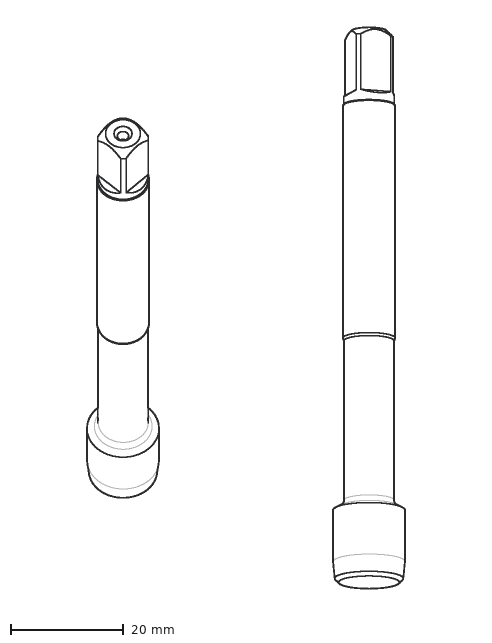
import cadquery as cq
import math

head_diameter = 12.8
head_top = 13.1
lead_top = 3.8
lead_diameter = 12.2
tip_chamfer = 0.7

shoulder_slope = 29.0
neck_diameter = 8.9
neck_fillet = 1.3
guide_diameter = 9.3
guide_bottom = 43.8
guide_top = 86.6
guide_lower_taper = 0.5
guide_upper_taper = 0.2
drive_diameter = 9.0
overall_length = 100.0
top_face_diameter = 6.2

across_flats = 7.0
flats_bottom = 88.5
runout_slope = 30.0

centre_diameter = 2.0
centre_mouth_diameter = 3.2
centre_depth = 3.0
countersink_depth = 0.7
drill_point_angle = 118.0


def make_head():
    """Revolved threaded-end envelope, sitting below the shank."""
    head_radius = head_diameter / 2
    lead_radius = lead_diameter / 2
    return (
        cq.Workplane("XZ")
        .lineTo(lead_radius - tip_chamfer, 0)
        .lineTo(lead_radius, tip_chamfer)
        .lineTo(head_radius, lead_top)
        .lineTo(head_radius, head_top)
        .lineTo(0, head_top)
        .close()
        .revolve(360, (0, 0), (0, 1))
    )


def make_shank_blank():
    """Revolved shank before the drive flats and the centre hole are cut."""
    neck_radius = neck_diameter / 2
    guide_radius = guide_diameter / 2
    drive_radius = drive_diameter / 2
    top_radius = top_face_diameter / 2
    top_chamfer = drive_radius - top_radius

    slope = math.radians(shoulder_slope)
    fillet_centre_r = neck_radius + neck_fillet
    fillet_end_r = fillet_centre_r - neck_fillet * math.sin(slope)
    fillet_end_z = head_top + (head_diameter / 2 - fillet_end_r) * math.tan(slope)
    fillet_start_z = fillet_end_z + neck_fillet * math.cos(slope)
    middle_angle = (math.pi / 2 - slope) / 2
    fillet_middle = (
        fillet_centre_r - neck_fillet * math.cos(middle_angle),
        fillet_start_z - neck_fillet * math.sin(middle_angle),
    )

    return (
        cq.Workplane("XZ")
        .moveTo(0, head_top)
        .lineTo(head_diameter / 2, head_top)
        .lineTo(fillet_end_r, fillet_end_z)
        .threePointArc(fillet_middle, (neck_radius, fillet_start_z))
        .lineTo(neck_radius, guide_bottom)
        .lineTo(guide_radius, guide_bottom + guide_lower_taper)
        .lineTo(guide_radius, guide_top - guide_upper_taper)
        .lineTo(drive_radius, guide_top)
        .lineTo(drive_radius, overall_length - top_chamfer)
        .lineTo(top_radius, overall_length)
        .lineTo(0, overall_length)
        .close()
        .revolve(360, (0, 0), (0, 1))
    )


def make_flat_cutter():
    """Cutter for the +X drive flat, with a sloping run-out at its foot."""
    inner = across_flats / 2
    outer = guide_diameter / 2
    runout_drop = (outer - inner) * math.tan(math.radians(runout_slope))
    return (
        cq.Workplane("XZ")
        .moveTo(inner, flats_bottom)
        .lineTo(outer, flats_bottom - runout_drop)
        .lineTo(outer, overall_length)
        .lineTo(inner, overall_length)
        .close()
        .extrude(guide_diameter / 2, both=True)
    )


def make_centre_hole():
    """Countersunk blind hole with a conical bottom."""
    hole_radius = centre_diameter / 2
    mouth_radius = centre_mouth_diameter / 2
    point_depth = hole_radius / math.tan(math.radians(drill_point_angle / 2))
    hole_bottom = overall_length - centre_depth
    return (
        cq.Workplane("XZ")
        .moveTo(0, hole_bottom - point_depth)
        .lineTo(hole_radius, hole_bottom)
        .lineTo(hole_radius, overall_length - countersink_depth)
        .lineTo(mouth_radius, overall_length)
        .lineTo(0, overall_length)
        .close()
        .revolve(360, (0, 0), (0, 1))
    )


def make_shank():
    """Shank with a four-sided drive and a centre hole at the top."""
    shank = make_shank_blank()
    flat_cutter = make_flat_cutter()
    for angle in (0, 90, 180, 270):
        shank = shank.cut(flat_cutter.rotate((0, 0, 0), (0, 0, 1), angle))
    return shank.cut(make_centre_hole())


head = make_head()
shank = make_shank()

result = cq.Compound.makeCompound([head.val(), shank.val()])